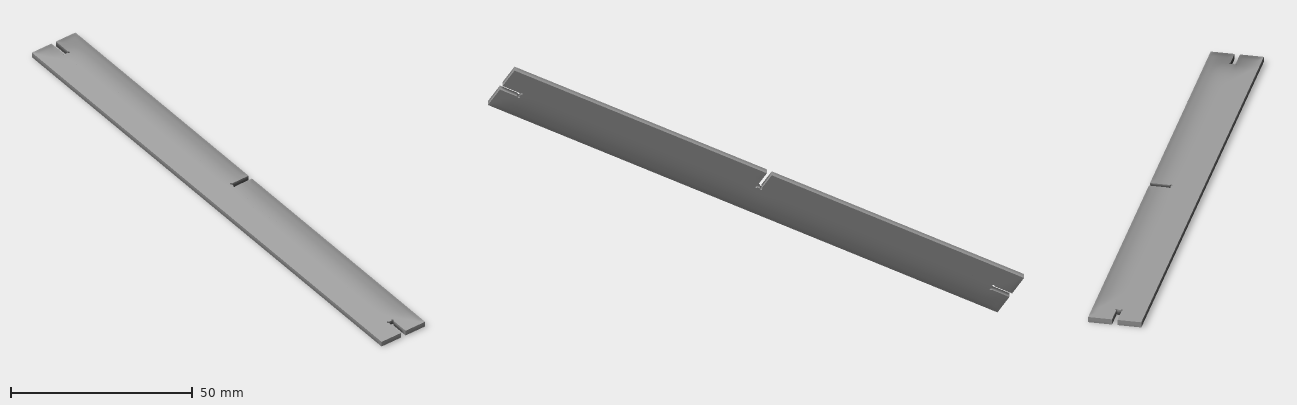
import cadquery as cq

length = 160.5
width = 15.0
thickness = 1.6

slot_width = 1.52
slot_depth = 6.0
relief_radius = 0.3


def slot_cutter(mouth_x, mouth_y, inward_angle):
    """Slot running inward from its mouth, with reliefs centered on its inner corners."""
    slot = cq.Workplane("XY").box(
        slot_depth, slot_width, thickness, centered=(False, True, False)
    )
    reliefs = (
        cq.Workplane("XY")
        .pushPoints([(slot_depth, side * slot_width / 2) for side in (-1, 1)])
        .circle(relief_radius)
        .extrude(thickness)
    )
    cutter = slot.union(reliefs)
    return cutter.rotate((0, 0, 0), (0, 0, 1), inward_angle).translate((mouth_x, mouth_y, 0))


result = cq.Workplane("XY").box(length, width, thickness, centered=(True, True, False))

slot_mouths = [
    (-length / 2, 0, 0),
    (length / 2, 0, 180),
    (0, width / 2, -90),
]
for mouth_x, mouth_y, inward_angle in slot_mouths:
    result = result.cut(slot_cutter(mouth_x, mouth_y, inward_angle))